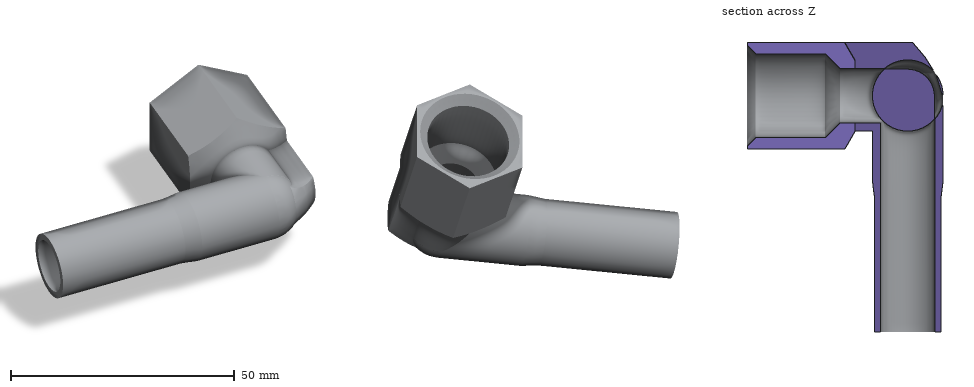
import cadquery as cq
import math

elbow_x = 36.0
elbow_radius = 8.0
bore_radius = 12.0 / 2

across_flats = 24.0
flat_y = across_flats / 2
half_side_angle = 30
across_corners = across_flats / math.cos(math.radians(half_side_angle))
corner_length = 20.85
chamfer_angle = 30
cone_length = (across_corners / 2 - elbow_radius) * math.tan(math.radians(chamfer_angle))
nut_length = corner_length + cone_length
thread_radius = 18.65 / 2
mouth_radius = 22.6 / 2
mouth_depth = mouth_radius - thread_radius
seat_end = corner_length
seat_start = seat_end - (thread_radius - bore_radius)

stem_radius = 15.0 / 2
taper_start = 19.0
taper_end = 22.9
stem_end = 65 - flat_y

pad_base_y = 5.1
pad_edge_z = 3.9
pad_arc_radius = 15.85
pad_depth = flat_y - pad_base_y
pad_base_z = pad_edge_z + pad_arc_radius - math.sqrt(pad_arc_radius**2 - pad_depth**2)
pad_mid_depth = pad_depth / 2
pad_mid_z = pad_edge_z + pad_arc_radius - math.sqrt(pad_arc_radius**2 - pad_mid_depth**2)
pad_nose_radius = math.sqrt(elbow_radius**2 - pad_base_y**2)
pad_rear_reach = 1.1
pad_mid_reach = 4.0


def revolve_about_x(outline):
    """Revolve a closed (x, radius) outline about the X axis."""
    return cq.Workplane("XY").polyline(outline).close().revolve(360, (0, 0, 0), (1, 0, 0))


def make_nut_blank():
    """Hexagon with flats facing +Y and -Y, its rear corners turned to a cone."""
    hexagon = cq.Workplane("YZ").polygon(6, across_corners).extrude(nut_length)
    hexagon = hexagon.rotate((0, 0, 0), (1, 0, 0), half_side_angle)
    corner_radius = across_corners / 2
    envelope = revolve_about_x([
        (0, 0),
        (0, corner_radius),
        (corner_length, corner_radius),
        (nut_length, elbow_radius),
        (nut_length, 0),
    ])
    return hexagon.intersect(envelope)


def make_nut():
    passage = revolve_about_x([
        (0, 0),
        (0, mouth_radius),
        (mouth_depth, thread_radius),
        (seat_start, thread_radius),
        (seat_end, bore_radius),
        (nut_length, bore_radius),
        (nut_length, 0),
    ])
    return make_nut_blank().cut(passage)


def make_corner(radius):
    """Leg along X joined to a ball at the corner."""
    leg = cq.Workplane("YZ").workplane(offset=nut_length).circle(radius).extrude(elbow_x - nut_length)
    ball = cq.Workplane("XY").sphere(radius).translate((elbow_x, 0, 0))
    return leg.union(ball)


def make_stem():
    """Turned leg along -Y, tapering from the elbow to the stem diameter."""
    outline = [
        (0, 0),
        (elbow_radius, 0),
        (elbow_radius, -taper_start),
        (stem_radius, -taper_end),
        (stem_radius, -stem_end),
        (0, -stem_end),
    ]
    stem = cq.Workplane("XY").polyline(outline).close().revolve(360, (0, 0, 0), (0, 1, 0))
    return stem.translate((elbow_x, 0, 0))


def nose_section(y, reach):
    """Closed wire across Y whose +X end is a half circle at the given reach."""
    centre_x = elbow_x + reach - pad_nose_radius
    return (
        cq.Workplane("XZ", origin=(0, y, 0))
        .moveTo(corner_length, -pad_nose_radius)
        .lineTo(centre_x, -pad_nose_radius)
        .threePointArc((centre_x + pad_nose_radius, 0), (centre_x, pad_nose_radius))
        .lineTo(corner_length, pad_nose_radius)
        .close()
        .val()
    )


def make_pad():
    """Hollow-sided pad that ends in a leaning round nose and stops at the nut."""
    flanks = (
        cq.Workplane("YZ", origin=(corner_length, 0, 0))
        .moveTo(pad_base_y, -pad_base_z)
        .threePointArc((pad_base_y + pad_mid_depth, -pad_mid_z), (flat_y, -pad_edge_z))
        .lineTo(flat_y, pad_edge_z)
        .threePointArc((pad_base_y + pad_mid_depth, pad_mid_z), (pad_base_y, pad_base_z))
        .close()
        .extrude(elbow_x + elbow_radius - corner_length)
    )
    nose = cq.Solid.makeLoft([
        nose_section(pad_base_y, pad_nose_radius),
        nose_section(pad_base_y + pad_mid_depth, pad_mid_reach),
        nose_section(flat_y, pad_rear_reach),
    ])
    return flanks.intersect(cq.Workplane(nose)).cut(make_nut_blank())


def make_elbow():
    stem_bore = cq.Workplane("XZ", origin=(elbow_x, 0, 0)).circle(bore_radius).extrude(stem_end)
    body = make_corner(elbow_radius).union(make_stem()).union(make_pad())
    return body.cut(make_corner(bore_radius)).cut(stem_bore)


nut = make_nut()
elbow = make_elbow()

result = cq.Compound.makeCompound([nut.solids().val(), elbow.solids().val()])